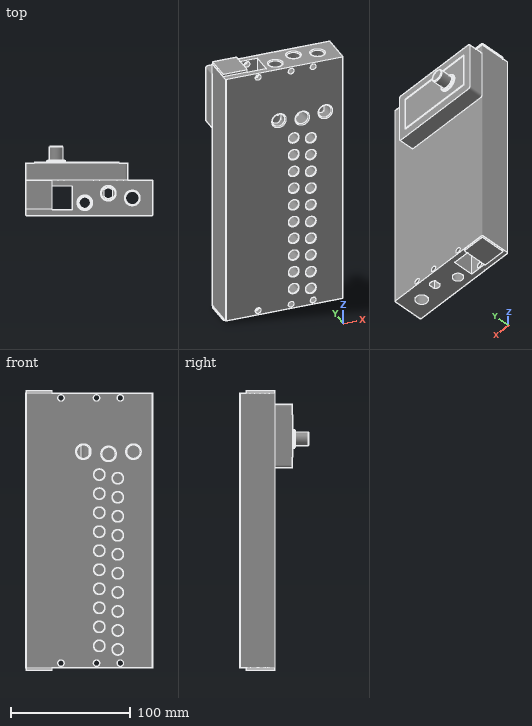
import cadquery as cq

width = 106.7
total_height = 235.0
block_depth = 30.0
cap_height = 2.0
block_bottom = cap_height
block_top = total_height - cap_height
front_edge_chamfer = 0.7
back_edge_radius = 0.5

cap_right = 22.0
cap_front = 5.6
cap_inset = 0.2
cap_corner_radius = 0.7

channel_width = 17.0
channel_front = 5.2
channel_back = 25.0

port_radius = 5.6
port_countersink = 1.0
end_counterbore_depth = 18.8
end_ports = [
    (49.5, 11.0, 4.7, None),
    (69.3, 19.0, 4.5, 7.0),
    (89.5, 15.0, port_radius, None),
]
front_ports = [
    (48.5, 183.8, 14.3),
    (69.5, 182.0, 24.7),
    (90.5, 183.8, 24.7),
]

outlet_count = 10
outlet_pitch = 16.0
outlet_radius = 4.5
outlet_countersink = 0.5
outlet_depth = 14.0
outlet_columns = [(61.8, 164.5), (77.3, 161.5)]

mount_x = [29.5, 59.5, 79.5]
mount_radius = 2.5
mount_inset = 4.0

housing_width = 85.8
housing_bottom = 170.1
housing_height = 53.5
housing_back = 44.5
housing_corner = 2.0
label_width = 71.2
label_height = 35.5
label_thickness = 0.7
label_back = housing_back + label_thickness

connector_x = 25.5
connector_z = 194.5
connector_radius = 5.9
connector_back = 58.5
connector_chamfer = 0.7
collar_radius = 8.0
collar_back = 47.0
collar_chamfer = 1.0
knurl_count = 36
knurl_size = 0.7


def box(x, y, z, dx, dy, dz):
    """Box from its lowest corner and its sizes."""
    return cq.Workplane("XY").box(dx, dy, dz, centered=False).translate((x, y, z))


def rod(x, y, z, radius, length, direction):
    """Cylinder starting at a point and running along a direction."""
    return cq.Workplane(cq.Solid.makeCylinder(radius, length, cq.Vector(x, y, z), cq.Vector(*direction)))


def countersink(x, y, z, hole_radius, size, direction):
    """45 degree conical mouth that narrows from a face down to the hole radius."""
    return cq.Workplane(
        cq.Solid.makeCone(hole_radius + size, hole_radius, size, cq.Vector(x, y, z), cq.Vector(*direction))
    )


def front_hole(x, z, radius, depth, mouth):
    """Countersunk blind hole bored into the front face."""
    return rod(x, 0, z, radius, depth, (0, 1, 0)).union(countersink(x, 0, z, radius, mouth, (0, 1, 0)))


def main_block():
    block = box(0, 0, block_bottom, width, block_depth, block_top - block_bottom)
    block = block.faces("<Y").edges("|Z").chamfer(front_edge_chamfer)
    return block.faces(">Y").edges("|Z").fillet(back_edge_radius)


def end_cap():
    """Cap for the top end, from the block to the full height."""
    cap_depth = block_depth - cap_inset - cap_front
    cap = box(cap_inset, cap_front, block_top, cap_right - cap_inset, cap_depth, cap_height)
    return cap.edges("|Z").fillet(cap_corner_radius)


def end_port(x, y, bore_radius, flats):
    """Vertical port, open at both ends."""
    bore = rod(x, y, 0, bore_radius, total_height, (0, 0, 1))
    if flats:
        bore = bore.intersect(box(x - flats / 2, 0, 0, flats, block_depth, total_height))
    counterbore = rod(x, y, block_top, port_radius, end_counterbore_depth, (0, 0, -1))
    mouth = countersink(x, y, block_top, port_radius, port_countersink, (0, 0, -1))
    return bore.union(counterbore).union(mouth)


def connector():
    collar = rod(connector_x, housing_back, connector_z, collar_radius, collar_back - housing_back, (0, 1, 0))
    collar = collar.faces(">Y").chamfer(collar_chamfer)
    notches = (
        cq.Workplane("XZ", origin=(connector_x, label_back, connector_z))
        .polarArray(collar_radius, 0, 360, knurl_count)
        .polygon(4, knurl_size)
        .extrude(label_back - collar_back)
    )
    barrel = rod(connector_x, housing_back, connector_z, connector_radius, connector_back - housing_back, (0, 1, 0))
    barrel = barrel.faces(">Y").chamfer(connector_chamfer)
    return collar.cut(notches).union(barrel)


def housing():
    body = box(0, block_depth, housing_bottom, housing_width, housing_back - block_depth, housing_height)
    body = body.edges("|Y").fillet(housing_corner)
    label = box(
        (housing_width - label_width) / 2,
        housing_back,
        housing_bottom + (housing_height - label_height) / 2,
        label_width,
        label_thickness,
        label_height,
    )
    return body.union(label).union(connector())


cap = end_cap()
result = main_block().union(cap).union(cap.mirror("XY", (0, 0, total_height / 2)))

result = result.cut(
    box(cap_right, channel_front, 0, channel_width, channel_back - channel_front, total_height)
)

for port_x, port_y, bore_radius, flats in end_ports:
    result = result.cut(end_port(port_x, port_y, bore_radius, flats))

for port_x, port_z, depth in front_ports:
    result = result.cut(front_hole(port_x, port_z, port_radius, depth, port_countersink))

for column_x, top_z in outlet_columns:
    for row in range(outlet_count):
        outlet_z = top_z - row * outlet_pitch
        result = result.cut(front_hole(column_x, outlet_z, outlet_radius, outlet_depth, outlet_countersink))

for hole_x in mount_x:
    for hole_z in (block_bottom + mount_inset, block_top - mount_inset):
        result = result.cut(rod(hole_x, 0, hole_z, mount_radius, block_depth, (0, 1, 0)))

result = result.union(housing())